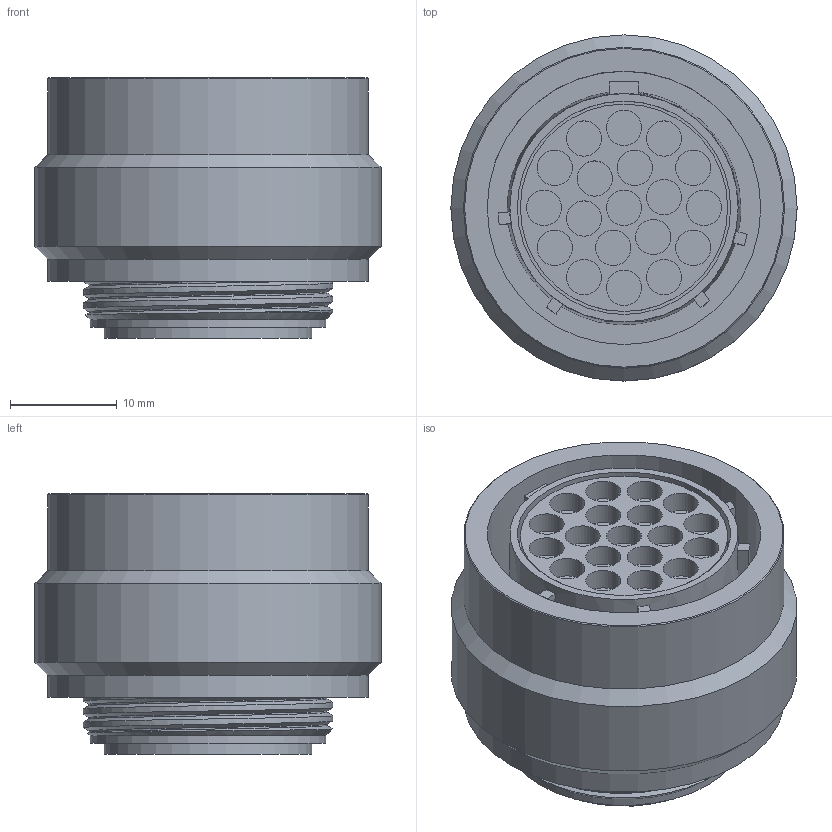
import math

import cadquery as cq

total_height = 24.41
tail_height = 1.03
thread_chamfer_start = 1.75
shell_bottom = 5.35
band_bottom = 7.42
band_top = 17.2
well_depth = 12.0

band_radius = 16.225
shell_radius = 15.04
shell_bore_radius = 12.82
tail_radius = 9.73
rim_chamfer = 0.1
band_chamfer = band_radius - shell_radius

barrel_top_radius = 10.7
barrel_foot_radius = 10.95
barrel_bore_radius = 10.0
insert_radius = 9.72
recess_depth = 0.27
insert_gap_depth = 2.0

thread_radius = 11.69
thread_root_radius = 11.19
thread_core_radius = 11.05
thread_pitch = 1.25
groove_mouth_width = 0.75
groove_root_width = 0.15
groove_height_at_plus_x = 3.05
groove_run_in_turns = 2
groove_turns = 5
groove_overshoot = 0.2

cavity_diameter = 3.3
cavity_depth = 2.0
outer_cavity_count = 12
outer_cavity_circle = 7.5
inner_cavity_count = 6
inner_cavity_circle = 3.88
inner_cavity_start_angle = 15.0

key_tip_radius = 11.8
key_root_radius = 10.3
key_top_drop = 0.85
main_key_width = 2.8
small_key_width = 1.1
main_key_angle = 90.0
small_key_angles = (185.0, 234.7, 310.2, 345.2)

well_floor = total_height - well_depth
insert_face = total_height - recess_depth


def revolve_profile(points):
    """Solid of revolution about Z from (radius, height) points."""
    return cq.Workplane("XZ").polyline(points).close().revolve(360, (0, 0), (0, 1))


def make_shell():
    """Coupling shell, with a raised chamfered band and a solid core up to the well floor."""
    return revolve_profile([
        (0, shell_bottom),
        (shell_radius, shell_bottom),
        (shell_radius, band_bottom),
        (band_radius, band_bottom + band_chamfer),
        (band_radius, band_top - band_chamfer),
        (shell_radius, band_top),
        (shell_radius, total_height - rim_chamfer),
        (shell_radius - rim_chamfer, total_height),
        (shell_bore_radius, total_height),
        (shell_bore_radius, well_floor),
        (0, well_floor),
    ])


def make_barrel():
    """Tapered barrel and its insert, set just below the rim with a narrow gap around it."""
    gap_floor = insert_face - insert_gap_depth
    return revolve_profile([
        (0, well_floor),
        (barrel_foot_radius, well_floor),
        (barrel_top_radius, total_height),
        (barrel_bore_radius, total_height),
        (barrel_bore_radius, gap_floor),
        (insert_radius, gap_floor),
        (insert_radius, insert_face),
        (0, insert_face),
    ])


def make_key(width, angle):
    """Key running along the barrel, from the well floor to just below the rim."""
    return (
        cq.Workplane("XY")
        .workplane(offset=well_floor)
        .center((key_root_radius + key_tip_radius) / 2, 0)
        .rect(key_tip_radius - key_root_radius, width)
        .extrude(well_depth - key_top_drop)
        .rotate((0, 0, 0), (0, 0, 1), angle)
    )


def make_cavities():
    """Cylinders for the contact cavities: one central, with two rings around it."""
    inner_step = 360 / inner_cavity_count
    outer_step = 360 / outer_cavity_count
    polar_places = [(0, 0)]
    for i in range(inner_cavity_count):
        polar_places.append((inner_cavity_circle, inner_cavity_start_angle + i * inner_step))
    for i in range(outer_cavity_count):
        polar_places.append((outer_cavity_circle, i * outer_step))
    centres = []
    for radius, angle in polar_places:
        turn = math.radians(angle)
        centres.append((radius * math.cos(turn), radius * math.sin(turn)))
    return (
        cq.Workplane("XY")
        .workplane(offset=insert_face - cavity_depth)
        .pushPoints(centres)
        .circle(cavity_diameter / 2)
        .extrude(cavity_depth)
    )


def make_threaded_neck():
    """Neck below the shell: plain tail, core step, conical lead-in and helical groove."""
    neck_top = band_bottom
    lead_in = thread_radius - thread_core_radius
    neck = revolve_profile([
        (0, 0),
        (tail_radius, 0),
        (tail_radius, tail_height),
        (thread_core_radius, tail_height),
        (thread_core_radius, thread_chamfer_start),
        (thread_radius, thread_chamfer_start + lead_in),
        (thread_radius, neck_top),
        (0, neck_top),
    ])

    helix_start = groove_height_at_plus_x - groove_run_in_turns * thread_pitch
    flank_slope = (groove_mouth_width - groove_root_width) / 2 / (thread_radius - thread_root_radius)
    cutter_radius = thread_radius + groove_overshoot
    cutter_half_width = groove_mouth_width / 2 + flank_slope * groove_overshoot
    root_half_width = groove_root_width / 2
    helix = cq.Wire.makeHelix(thread_pitch, groove_turns * thread_pitch, thread_root_radius)
    groove = (
        cq.Workplane("XZ")
        .polyline([
            (thread_root_radius, -root_half_width),
            (cutter_radius, -cutter_half_width),
            (cutter_radius, cutter_half_width),
            (thread_root_radius, root_half_width),
        ])
        .close()
        .sweep(cq.Workplane(obj=helix), isFrenet=True)
        .translate((0, 0, helix_start))
    )
    return neck.cut(groove)


result = make_threaded_neck().union(make_shell()).union(make_barrel())
result = result.union(make_key(main_key_width, main_key_angle))
for small_key_angle in small_key_angles:
    result = result.union(make_key(small_key_width, small_key_angle))
result = result.cut(make_cavities())